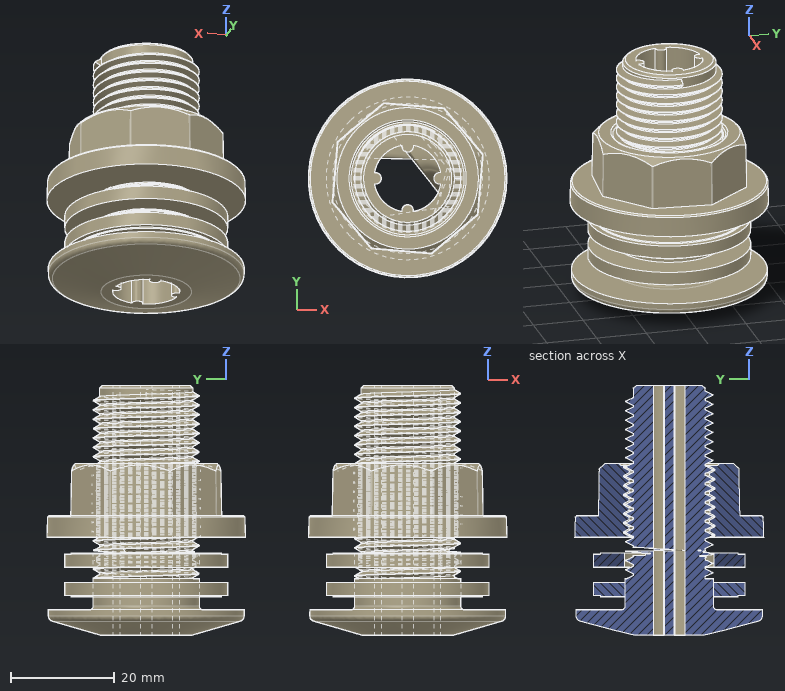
import cadquery as cq
import math

TOTAL_HEIGHT = 48.5
HEAD_RADIUS = 19.0
HEAD_HEIGHT = 5.0
HEAD_FACE_RADIUS = 8.8
HEAD_CONE_HEIGHT = 2.95
HEAD_RIM_FILLET = 1.1
SHANK_RADIUS = 10.35
SHANK_TOP = 11.0
SHANK_FILLET = 0.7
CORE_RADIUS = 9.05
TOP_CHAMFER = 0.55

BORE_RADIUS = 6.5
RIB_COUNT = 4
RIB_RADIUS = 1.1
RIB_TIP_RADIUS = 5.1

EDGE_MARGIN = 0.05

PITCH = 1.815
THREAD_TURNS = 20
THREAD_TOP = 46.9
THREAD_BOTTOM = THREAD_TOP - THREAD_TURNS * PITCH
CREST_RADIUS = 10.3
RIDGE_ROOT_WIDTH = 1.55
RIDGE_CREST_WIDTH = 0.1
ROOT_EMBED = 0.15

NUT_BOTTOM = 19.0
NUT_TOP = 33.35
FLANGE_TOP = 23.25
FLANGE_RADIUS = 19.28
FLANGE_TOP_RADIUS = 19.15
FLANGE_CHAMFER = 0.3
NUT_SIDES = 8
NUT_APOTHEM = 14.2
NUT_DRAFT = 1.0
NUT_CORNER_ANGLE = 17.6
NUT_CORNER_FILLET = 0.25
NUT_CHAMFER_RADIUS = 13.73
NUT_BORE_RADIUS = 9.7
GROOVE_RADIUS = 10.52
GROOVE_MOUTH_WIDTH = 1.25
GROOVE_BOTTOM_WIDTH = 0.2
GROOVE_RUNOUT_TURNS = 1
COUNTERSINK_RADIUS = 11.35
COUNTERSINK_FLOOR_RADIUS = 10.95

WASHER_RADIUS = 15.8
WASHER_STEP_RADIUS = 14.55
WASHER_THICKNESS = 2.55
WASHER_STEP_HEIGHT = 0.25
UPPER_WASHER_TOP = 16.0
LOWER_WASHER_BOTTOM = 7.45


def cylinder(radius, bottom, top):
    return cq.Workplane("XY").workplane(offset=bottom).circle(radius).extrude(top - bottom)


def revolved(points):
    """Solid of revolution about Z from (radius, height) points."""
    return cq.Workplane("XZ").polyline(points).close().revolve(360, (0, 0), (0, 1))


def helical_ridge(root_radius, root_width, crest_radius, crest_width, bottom, turns):
    """Right-handed trapezoidal ridge that starts on the +X side, centred on the given height."""
    flank_slope = (root_width - crest_width) / 2 / (crest_radius - root_radius)
    foot_radius = root_radius - ROOT_EMBED
    foot = root_width / 2 + ROOT_EMBED * flank_slope
    tip = crest_width / 2
    helix = cq.Wire.makeHelix(PITCH, turns * PITCH, root_radius).translate(cq.Vector(0, 0, bottom))
    return (
        cq.Workplane("XZ")
        .polyline([
            (foot_radius, bottom - foot),
            (crest_radius, bottom - tip),
            (crest_radius, bottom + tip),
            (foot_radius, bottom + foot),
        ])
        .close()
        .sweep(cq.Workplane(obj=helix), isFrenet=True)
    )


def edges_at(radius, height):
    """Selector for level circular edges at the given height, up to the given radius."""
    reach = radius + EDGE_MARGIN
    return cq.selectors.BoxSelector(
        (-reach, -reach, height - EDGE_MARGIN), (reach, reach, height + EDGE_MARGIN), boundingbox=True
    )


def make_head():
    head = revolved([
        (0, 0),
        (HEAD_FACE_RADIUS, 0),
        (HEAD_RADIUS, HEAD_CONE_HEIGHT),
        (HEAD_RADIUS, HEAD_HEIGHT),
        (SHANK_RADIUS, HEAD_HEIGHT),
        (SHANK_RADIUS, SHANK_TOP),
        (0, SHANK_TOP),
    ])
    head = head.edges(edges_at(HEAD_RADIUS, HEAD_CONE_HEIGHT)).fillet(HEAD_RIM_FILLET)
    return head.edges(edges_at(SHANK_RADIUS, HEAD_HEIGHT)).fillet(SHANK_FILLET)


def make_bore():
    """Through bore with lengthwise round ribs left standing."""
    ribs = (
        cq.Workplane("XY")
        .polarArray(RIB_TIP_RADIUS + RIB_RADIUS, 0, 360, RIB_COUNT)
        .circle(RIB_RADIUS)
        .extrude(TOTAL_HEIGHT)
    )
    return cylinder(BORE_RADIUS, 0, TOTAL_HEIGHT).cut(ribs)


def make_connector():
    core = cylinder(CORE_RADIUS, HEAD_HEIGHT, TOTAL_HEIGHT).faces(">Z").chamfer(TOP_CHAMFER)
    thread = helical_ridge(
        CORE_RADIUS, RIDGE_ROOT_WIDTH, CREST_RADIUS, RIDGE_CREST_WIDTH, THREAD_BOTTOM, THREAD_TURNS
    )
    return make_head().union(core).cut(make_bore()).union(thread)


def make_nut_blank():
    flange = revolved([
        (0, NUT_BOTTOM),
        (FLANGE_RADIUS, NUT_BOTTOM),
        (FLANGE_TOP_RADIUS, FLANGE_TOP - FLANGE_CHAMFER),
        (FLANGE_TOP_RADIUS - FLANGE_CHAMFER, FLANGE_TOP),
        (0, FLANGE_TOP),
    ])
    prism_height = NUT_TOP - FLANGE_TOP
    corner_radius = NUT_APOTHEM / math.cos(math.pi / NUT_SIDES)
    prism = (
        cq.Workplane("XY")
        .workplane(offset=FLANGE_TOP)
        .polygon(NUT_SIDES, 2 * corner_radius)
        .extrude(prism_height, taper=NUT_DRAFT)
        .edges("not(<Z or >Z)")
        .fillet(NUT_CORNER_FILLET)
        .rotate((0, 0, 0), (0, 0, 1), NUT_CORNER_ANGLE)
    )
    trim = revolved([
        (0, FLANGE_TOP),
        (NUT_CHAMFER_RADIUS + prism_height, FLANGE_TOP),
        (NUT_CHAMFER_RADIUS, NUT_TOP),
        (0, NUT_TOP),
    ])
    return flange.union(prism.intersect(trim))


def make_nut():
    bore = cylinder(NUT_BORE_RADIUS, NUT_BOTTOM, NUT_TOP)
    countersink_floor = NUT_TOP - (COUNTERSINK_RADIUS - COUNTERSINK_FLOOR_RADIUS)
    countersink = revolved([
        (0, NUT_TOP),
        (COUNTERSINK_RADIUS, NUT_TOP),
        (COUNTERSINK_FLOOR_RADIUS, countersink_floor),
        (0, countersink_floor),
    ])
    first_turn = math.floor((NUT_BOTTOM - THREAD_BOTTOM) / PITCH) - GROOVE_RUNOUT_TURNS
    last_turn = math.ceil((NUT_TOP - THREAD_BOTTOM) / PITCH) + GROOVE_RUNOUT_TURNS
    groove = helical_ridge(
        NUT_BORE_RADIUS, GROOVE_MOUTH_WIDTH, GROOVE_RADIUS, GROOVE_BOTTOM_WIDTH,
        THREAD_BOTTOM + first_turn * PITCH, last_turn - first_turn,
    )
    return make_nut_blank().cut(bore).cut(countersink).cut(groove)


def make_washer():
    """Washer on Z = 0 with its raised step on top."""
    return (
        cylinder(WASHER_RADIUS, 0, WASHER_THICKNESS)
        .union(cylinder(WASHER_STEP_RADIUS, WASHER_THICKNESS, WASHER_THICKNESS + WASHER_STEP_HEIGHT))
        .cut(cylinder(SHANK_RADIUS, 0, WASHER_THICKNESS + WASHER_STEP_HEIGHT))
    )


def make_washers():
    """The two washers: the upper one's step faces up, the lower one's faces down."""
    height = WASHER_THICKNESS + WASHER_STEP_HEIGHT
    upper = make_washer().translate((0, 0, UPPER_WASHER_TOP - height))
    lower = make_washer().rotate((0, 0, 0), (1, 0, 0), 180).translate((0, 0, LOWER_WASHER_BOTTOM + height))
    return [upper, lower]


connector = make_connector()
nut = make_nut()
washers = make_washers()
result = cq.Compound.makeCompound([
    connector.val(),
    nut.val(),
    *[washer.val() for washer in washers],
])